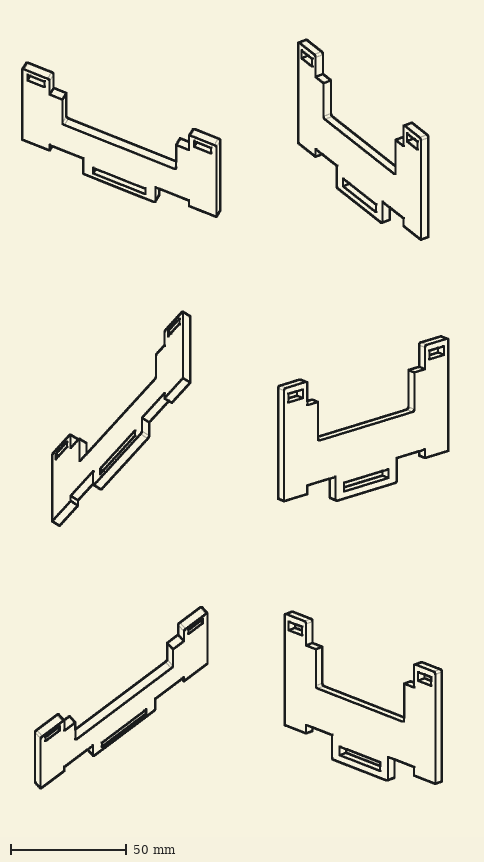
import cadquery as cq

width = 94.0
thickness = 4.0
height = 59.7

arm_width = 13.35
shoulder_drop = 11.05
opening_width = 55.0
opening_drop = 29.15

foot_width = arm_width
foot_height = 4.0
tab_width = 35.0
tab_height = 11.35

slot_height = 4.0
arm_slot_width = 8.2
arm_slot_top_wall = 3.1
tab_slot_width = 25.2
tab_slot_bottom_wall = 3.35

corner_radius = 1.0

top = height / 2
bottom = -height / 2
shoulder_level = top - shoulder_drop
opening_floor = top - opening_drop
underside = bottom + tab_height
foot_level = underside - foot_height

half_width = width / 2
arm_inner = half_width - arm_width
half_opening = opening_width / 2
foot_inner = half_width - foot_width
half_tab = tab_width / 2
arm_center = half_width - arm_width / 2


def block(x_center, z_center, x_size, z_size):
    """Box through the full thickness of the plate."""
    return cq.Workplane("XY").box(x_size, thickness, z_size).translate((x_center, 0, z_center))


def make_plate():
    """Plate with arms, shoulders, feet and tab, from one symmetric outline."""
    right_half = [
        (half_tab, bottom),
        (half_tab, underside),
        (foot_inner, underside),
        (foot_inner, foot_level),
        (half_width, foot_level),
        (half_width, top),
        (arm_inner, top),
        (arm_inner, shoulder_level),
        (half_opening, shoulder_level),
        (half_opening, opening_floor),
    ]
    left_half = [(-x, z) for x, z in reversed(right_half)]
    outline = cq.Workplane("XZ").polyline(right_half + left_half).close()
    return outline.extrude(thickness / 2, both=True)


def round_corners(plate):
    """Round the arm tops, the opening's floor corners and the tab's lower corners."""
    rounded_levels = (top, opening_floor, bottom)
    corners = [
        edge
        for edge in plate.edges("|Y").vals()
        if any(abs(edge.Center().z - level) < corner_radius / 2 for level in rounded_levels)
    ]
    return plate.newObject(corners).fillet(corner_radius)


def cut_slots(plate):
    """Cut one strap slot in each arm and a longer one in the tab."""
    arm_slot_z = top - arm_slot_top_wall - slot_height / 2
    for side in (-1, 1):
        plate = plate.cut(block(side * arm_center, arm_slot_z, arm_slot_width, slot_height))
    tab_slot_z = bottom + tab_slot_bottom_wall + slot_height / 2
    return plate.cut(block(0, tab_slot_z, tab_slot_width, slot_height))


result = cut_slots(round_corners(make_plate()))